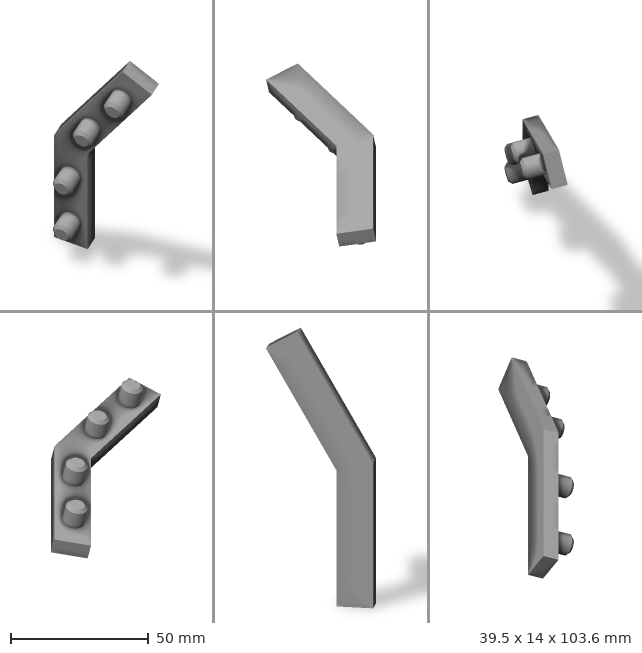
import cadquery as cq
import math

total_height = 103.6
bar_width = 13.6
bar_thickness = 6.0
bend_angle = math.radians(30)

pin_diameter = 8.0
pin_reach = 8.0
pin_chamfer = 1.2
pin_spacing = 25.0
end_margin = 12.5

sin_bend = math.sin(bend_angle)
cos_bend = math.cos(bend_angle)
half_width = bar_width / 2
arm_length = (total_height - half_width * sin_bend) / (1 + cos_bend)
miter_offset = half_width * math.tan(bend_angle / 2)


def upper_arm_point(along, across):
    """X, Z of a point on the tilted arm, measured from the bend centre."""
    x = along * sin_bend + across * cos_bend
    z = arm_length + along * cos_bend - across * sin_bend
    return x, z


def make_bar(hole_places):
    """Bent bar with its front face in the plane Y = 0 and a through hole for each pin."""
    outline = [
        (-half_width, 0),
        (half_width, 0),
        (half_width, arm_length - miter_offset),
        upper_arm_point(arm_length, half_width),
        upper_arm_point(arm_length, -half_width),
        (-half_width, arm_length + miter_offset),
    ]
    blank = cq.Workplane("XZ").polyline(outline).close().extrude(-bar_thickness)
    holes = cq.Workplane("XZ").pushPoints(hole_places).circle(pin_diameter / 2).extrude(-bar_thickness)
    return blank.cut(holes)


def make_pin(x, z):
    """Pin seated through the bar, with a chamfered free end toward -Y."""
    radius = pin_diameter / 2
    profile = [
        (0, bar_thickness),
        (radius, bar_thickness),
        (radius, -pin_reach + pin_chamfer),
        (radius - pin_chamfer, -pin_reach),
        (0, -pin_reach),
    ]
    pin = cq.Workplane("XY").polyline(profile).close().revolve(360, (0, 0), (0, 1))
    return pin.translate((x, 0, z))


outer_pin = arm_length - end_margin
inner_pin = outer_pin - pin_spacing
pin_places = [
    (0, arm_length - outer_pin),
    (0, arm_length - inner_pin),
    upper_arm_point(inner_pin, 0),
    upper_arm_point(outer_pin, 0),
]

bar = make_bar(pin_places)
pins = [make_pin(x, z) for x, z in pin_places]

result = cq.Compound.makeCompound([bar.val(), *[pin.val() for pin in pins]])